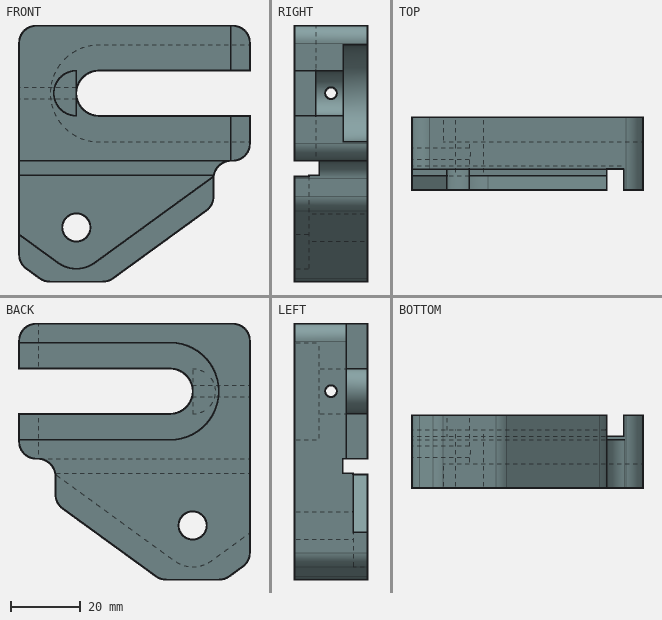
import cadquery as cq
import math

WIDTH = 66.5
DEPTH = 21.0
HEIGHT = 73.7
CORNER_RADIUS = 5.0

ARM_HEIGHT = 13.0
SLOT_END_X = 16.5
FORK_BOTTOM = HEIGHT - 3 * ARM_HEIGHT
SLOT_Z = HEIGHT - 1.5 * ARM_HEIGHT
SLOT_RADIUS = ARM_HEIGHT / 2
SLOT_CENTER_X = SLOT_END_X + SLOT_RADIUS
SLOT_LIP_DEPTH = 14.0
REAR_SLOT_RADIUS = 14.0

FORK_RECESS = 6.05
HOOK_WIDTH = 5.6
GROOVE_DEPTH = 7.1
GROOVE_HEIGHT = 4.1
GROOVE_BOTTOM = FORK_BOTTOM - GROOVE_HEIGHT
POCKET_DEPTH = 4.1

LUG_WIDTH = 56.0
SIDE_SLOPE = math.tan(math.radians(36))
PIVOT_X = SLOT_END_X
PIVOT_Z = 15.6
PIVOT_DIAMETER = 8.0
POCKET_APEX_Z = 1.6
POCKET_RADIUS = 9.0
RIM_RISE = 8.3
OUTER_APEX_Z = POCKET_APEX_Z - RIM_RISE

CROSS_HOLE_DIAMETER = 3.3


def extrude_back(sketch, depth):
    """Extrude a front-plane sketch from Y = 0 toward +Y."""
    return sketch.extrude(-depth)


def front_box(x_start, x_end, z_start, z_end, depth):
    sketch = cq.Workplane("XZ").moveTo(x_start, z_start).lineTo(x_end, z_start)
    return extrude_back(sketch.lineTo(x_end, z_end).lineTo(x_start, z_end).close(), depth)


def make_blank():
    base_half_width = -OUTER_APEX_Z / SIDE_SLOPE
    left_corner_z = OUTER_APEX_Z + PIVOT_X * SIDE_SLOPE
    right_corner_z = OUTER_APEX_Z + (LUG_WIDTH - PIVOT_X) * SIDE_SLOPE
    outline = [
        (PIVOT_X - base_half_width, 0),
        (PIVOT_X + base_half_width, 0),
        (LUG_WIDTH, right_corner_z),
        (LUG_WIDTH, FORK_BOTTOM),
        (WIDTH, FORK_BOTTOM),
        (WIDTH, HEIGHT),
        (0, HEIGHT),
        (0, left_corner_z),
    ]
    blank = extrude_back(cq.Workplane("XZ").polyline(outline).close(), DEPTH)
    return blank.edges("|Y").fillet(CORNER_RADIUS)


def open_slot(radius):
    """Full-depth slot cutter, open to the right, with its round end centred on SLOT_CENTER_X."""
    channel = front_box(SLOT_CENTER_X, WIDTH, SLOT_Z - radius, SLOT_Z + radius, DEPTH)
    round_end = extrude_back(cq.Workplane("XZ").center(SLOT_CENTER_X, SLOT_Z).circle(radius), DEPTH)
    return channel.union(round_end)


def make_slot():
    return open_slot(SLOT_RADIUS)


def make_rear_slot():
    """Wider slot concentric with the main one, sunk into the back face."""
    return open_slot(REAR_SLOT_RADIUS).translate((0, SLOT_LIP_DEPTH, 0))


def make_fork_recess():
    """Recess between the hooks and the left side, leaving a half-round stop standing."""
    recess = front_box(0, WIDTH - HOOK_WIDTH, FORK_BOTTOM, HEIGHT, FORK_RECESS)
    stop = (
        cq.Workplane("XZ")
        .moveTo(SLOT_END_X, SLOT_Z + SLOT_RADIUS)
        .threePointArc((SLOT_END_X - SLOT_RADIUS, SLOT_Z), (SLOT_END_X, SLOT_Z - SLOT_RADIUS))
        .close()
    )
    return recess.cut(extrude_back(stop, FORK_RECESS))


def make_lug_pocket():
    """V-shaped pocket with a rounded bottom, open toward the groove."""
    reach = (GROOVE_BOTTOM - POCKET_APEX_Z) / SIDE_SLOPE
    outline = [
        (PIVOT_X, POCKET_APEX_Z),
        (PIVOT_X + reach, GROOVE_BOTTOM),
        (PIVOT_X - reach, GROOVE_BOTTOM),
    ]
    pocket = extrude_back(cq.Workplane("XZ").polyline(outline).close(), POCKET_DEPTH)
    return pocket.edges("|Y and <Z").fillet(POCKET_RADIUS)


def make_pivot_hole():
    return extrude_back(cq.Workplane("XZ").center(PIVOT_X, PIVOT_Z).circle(PIVOT_DIAMETER / 2), DEPTH)


def make_cross_hole():
    hole = cq.Workplane("YZ").center(DEPTH / 2, SLOT_Z).circle(CROSS_HOLE_DIAMETER / 2)
    return hole.extrude(SLOT_CENTER_X)


result = (
    make_blank()
    .cut(make_slot())
    .cut(make_rear_slot())
    .cut(make_fork_recess())
    .cut(front_box(0, WIDTH, GROOVE_BOTTOM, FORK_BOTTOM, GROOVE_DEPTH))
    .cut(make_lug_pocket())
    .cut(make_pivot_hole())
    .cut(make_cross_hole())
)